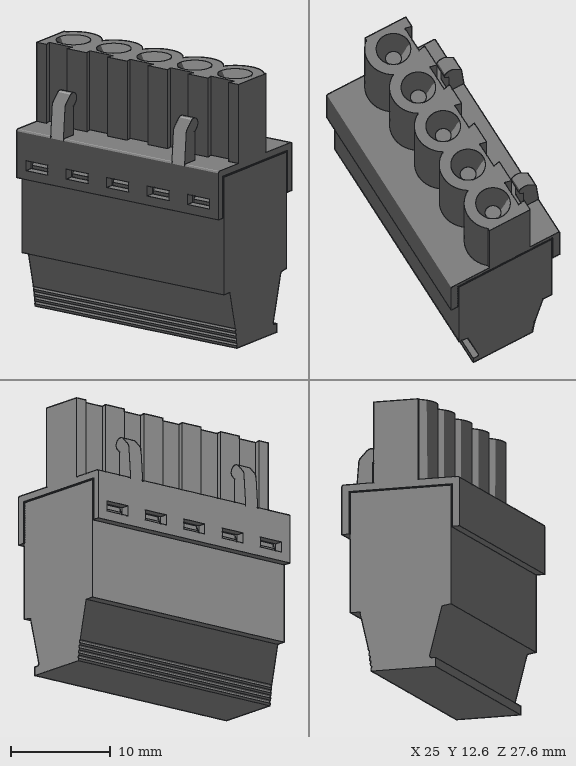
import cadquery as cq
import math

POLES = 5
WIDTH = 25.0
PITCH = WIDTH / POLES
HEIGHT = 27.6
DEPTH = 12.59
FRONT = -DEPTH / 2

CAP_TOP = 19.32
CAP_BOTTOM = 18.6
FLAP_BOTTOM = 14.25
CAP_EDGE_RADIUS = 0.22

BODY_DEPTH = 10.76
BODY_HALF = BODY_DEPTH / 2
BODY_BOTTOM = 6.15
REAR_DRAFT = 0.15
SEAM_WIDTH = 0.1
SEAM_DEPTH = 0.1

TAPER_FRONT = -4.35
TAPER_REAR = 4.42
TAPER_CORNER_RADIUS = 0.22
GRIP_TOP_Y = -3.48
GRIP_TOP = 2.4
GRIP_BOTTOM_Y = -3.15
NECK_Y = 3.04
NECK_FILLET = 0.22
TOE_Y = 3.73
TOE_HEIGHT = 0.9
GRIP_GROOVES = 4
GROOVE_PITCH = 0.52
GROOVE_WIDTH = 0.3
GROOVE_DEPTH = 0.097
FIRST_GROOVE_DROP = 0.41

SLEEVE_RADIUS = 2.9
SLEEVE_FRONT = -2.87
SHOULDER_Y = 1.88
SOCKET_TOP_DIAMETER = 3.48
SOCKET_BOTTOM_DIAMETER = 1.6
SOCKET_DEPTH = 2.15
KEYWAY_FLOOR = -2.15
KEYWAY_INNER_WIDTH = 2.87
KEYWAY_MOUTH_WIDTH = 2.55

WINDOW_WIDTH = 2.7
WINDOW_BOTTOM = 15.18
WINDOW_TOP = 16.23
CATCH_WIDTH = 2.1
CATCH_BOTTOM = 15.25
CATCH_NOSE_TOP = 15.62
CATCH_TOP = 16.15
CATCH_REACH = 0.22

HOOK_POLE_EDGES = (1, 4)
HOOK_WIDTH = 1.57
HOOK_ROOT = CAP_TOP - CAP_EDGE_RADIUS
HOOK_INNER_Y = FRONT + 1.77
HOOK_TIP_RADIUS = 0.65
HOOK_TIP_Y = FRONT + 1.63
HOOK_TIP_Z = 23.13
HOOK_SHOULDER_Y = FRONT + 0.3
HOOK_SHOULDER_RADIUS = 0.7

POLE_CENTRES = [(i - (POLES - 1) / 2) * PITCH for i in range(POLES)]


def extrude_along_x(outline, x_centre, width):
    """Extrude a closed Y-Z outline symmetrically about x_centre."""
    return outline.extrude(width / 2, both=True).translate((x_centre, 0, 0))


def box(x_range, y_range, z_range):
    """Box between the given limits."""
    spans = [high - low for low, high in (x_range, y_range, z_range)]
    corner = (x_range[0], y_range[0], z_range[0])
    return cq.Workplane("XY").box(*spans, centered=False).translate(corner)


FULL_WIDTH = (-WIDTH / 2, WIDTH / 2)


def make_housing():
    """Housing and tapered foot as one profile along X."""
    outline = cq.Workplane("YZ").polyline([
        (-BODY_HALF, CAP_BOTTOM),
        (-BODY_HALF, BODY_BOTTOM),
        (TAPER_FRONT, BODY_BOTTOM),
        (GRIP_TOP_Y, GRIP_TOP),
        (GRIP_BOTTOM_Y, 0),
        (TOE_Y, 0),
        (TOE_Y, TOE_HEIGHT),
        (NECK_Y, TOE_HEIGHT),
        (TAPER_REAR, BODY_BOTTOM),
        (BODY_HALF, BODY_BOTTOM + REAR_DRAFT),
        (BODY_HALF, CAP_BOTTOM),
    ]).close()
    housing = extrude_along_x(outline, 0, WIDTH)
    neck = cq.selectors.NearestToPointSelector((0, NECK_Y, TOE_HEIGHT))
    taper_corner = cq.selectors.NearestToPointSelector((0, TAPER_REAR, BODY_BOTTOM))
    housing = housing.edges(neck).fillet(NECK_FILLET)
    return housing.edges(taper_corner).fillet(TAPER_CORNER_RADIUS)


def make_grip_groove(index):
    """Shallow round groove running along X across the sloping grip face."""
    slope = (GRIP_BOTTOM_Y - GRIP_TOP_Y) / GRIP_TOP
    radius = GROOVE_WIDTH ** 2 / (8 * GROOVE_DEPTH) + GROOVE_DEPTH / 2
    tilt = math.atan(slope)
    z = GRIP_TOP - FIRST_GROOVE_DROP - index * GROOVE_PITCH
    face_y = GRIP_TOP_Y + slope * (GRIP_TOP - z)
    offset = radius - GROOVE_DEPTH
    centre = (face_y - offset * math.cos(tilt), z - offset * math.sin(tilt))
    return extrude_along_x(cq.Workplane("YZ").center(*centre).circle(radius), 0, WIDTH)


def make_cap():
    """Cap block, down to the foot of both flaps, with rounded long top edges."""
    cap = box(FULL_WIDTH, (FRONT, -FRONT), (FLAP_BOTTOM, CAP_TOP))
    return cap.edges("|X and >Z").fillet(CAP_EDGE_RADIUS)


def make_seam(side):
    """Shallow gap around the housing where the cap's end meets it; side is -1 or 1."""
    x_range = sorted((side * WIDTH / 2, side * (WIDTH / 2 - SEAM_DEPTH)))
    outer = BODY_HALF + SEAM_WIDTH
    seam = box(x_range, (-outer, outer), (FLAP_BOTTOM, CAP_BOTTOM))
    kept = box(x_range, (-BODY_HALF, BODY_HALF), (FLAP_BOTTOM, CAP_BOTTOM - SEAM_WIDTH))
    return seam.cut(kept)


def make_sleeves():
    """Row of sleeves with round backs, a flat front and a small shoulder at each end."""
    valley_y = math.sqrt(SLEEVE_RADIUS ** 2 - (PITCH / 2) ** 2)
    end_reach = math.sqrt(SLEEVE_RADIUS ** 2 - SHOULDER_Y ** 2)
    outline = (
        cq.Workplane("XY", origin=(0, 0, CAP_TOP))
        .moveTo(WIDTH / 2, SLEEVE_FRONT)
        .lineTo(-WIDTH / 2, SLEEVE_FRONT)
        .lineTo(-WIDTH / 2, SHOULDER_Y)
        .lineTo(POLE_CENTRES[0] - end_reach, SHOULDER_Y)
    )
    for x in POLE_CENTRES[:-1]:
        outline = outline.threePointArc((x, SLEEVE_RADIUS), (x + PITCH / 2, valley_y))
    last = POLE_CENTRES[-1]
    outline = outline.threePointArc((last, SLEEVE_RADIUS), (last + end_reach, SHOULDER_Y))
    return outline.lineTo(WIDTH / 2, SHOULDER_Y).close().extrude(HEIGHT - CAP_TOP)


def make_socket(x):
    """Conical contact socket in the top of a sleeve."""
    return (
        cq.Workplane("XY", origin=(x, 0, HEIGHT))
        .circle(SOCKET_TOP_DIAMETER / 2)
        .workplane(offset=-SOCKET_DEPTH)
        .circle(SOCKET_BOTTOM_DIAMETER / 2)
        .loft(ruled=True)
    )


def make_keyway(x):
    """Dovetail groove down the front of a sleeve."""
    return (
        cq.Workplane("XY", origin=(x, 0, CAP_TOP))
        .polyline([
            (-KEYWAY_MOUTH_WIDTH / 2, SLEEVE_FRONT),
            (-KEYWAY_INNER_WIDTH / 2, KEYWAY_FLOOR),
            (KEYWAY_INNER_WIDTH / 2, KEYWAY_FLOOR),
            (KEYWAY_MOUTH_WIDTH / 2, SLEEVE_FRONT),
        ])
        .close()
        .extrude(HEIGHT - CAP_TOP)
    )


def make_window(x):
    """Window through the front flap, back to the housing face."""
    x_range = (x - WINDOW_WIDTH / 2, x + WINDOW_WIDTH / 2)
    return box(x_range, (FRONT, -BODY_HALF), (WINDOW_BOTTOM, WINDOW_TOP))


def make_catch(x):
    """Ramped catch standing on the housing face inside a window."""
    nose_y = -BODY_HALF - CATCH_REACH
    outline = cq.Workplane("YZ").polyline([
        (-BODY_HALF, CATCH_BOTTOM),
        (nose_y, CATCH_BOTTOM),
        (nose_y, CATCH_NOSE_TOP),
        (-BODY_HALF, CATCH_TOP),
    ]).close()
    return extrude_along_x(outline, x, CATCH_WIDTH)


def make_hook(x):
    """Latch hook: a tapering arm with a round tip leaning towards the sleeves."""
    diagonal = HOOK_TIP_RADIUS * math.sqrt(0.5)
    tip_front = (HOOK_TIP_Y - diagonal, HOOK_TIP_Z + diagonal)
    tip_back = (HOOK_TIP_Y + diagonal, HOOK_TIP_Z - diagonal)
    tip_top_back = (HOOK_TIP_Y + diagonal, HOOK_TIP_Z + diagonal)
    shoulder = (HOOK_SHOULDER_Y, tip_front[1] - (tip_front[0] - HOOK_SHOULDER_Y))
    inner_corner = (HOOK_INNER_Y, tip_back[1] - (tip_back[0] - HOOK_INNER_Y))
    outline = (
        cq.Workplane("YZ")
        .moveTo(FRONT, HOOK_ROOT)
        .lineTo(*shoulder)
        .lineTo(*tip_front)
        .threePointArc(tip_top_back, tip_back)
        .lineTo(*inner_corner)
        .lineTo(HOOK_INNER_Y, HOOK_ROOT)
        .close()
    )
    hook = extrude_along_x(outline, x, HOOK_WIDTH)
    shoulder_edge = cq.selectors.NearestToPointSelector((x, *shoulder))
    return hook.edges(shoulder_edge).fillet(HOOK_SHOULDER_RADIUS)


result = make_housing().union(make_cap()).union(make_sleeves())

for groove in range(GRIP_GROOVES):
    result = result.cut(make_grip_groove(groove))

for end in (-1, 1):
    result = result.cut(make_seam(end))

for pole_x in POLE_CENTRES:
    result = result.cut(make_socket(pole_x)).cut(make_keyway(pole_x))
    result = result.cut(make_window(pole_x)).union(make_catch(pole_x))

for pole_edge in HOOK_POLE_EDGES:
    result = result.union(make_hook(pole_edge * PITCH - WIDTH / 2))